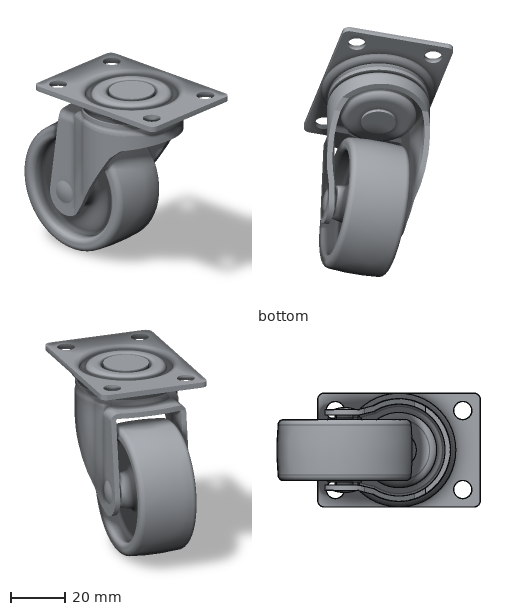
import cadquery as cq
import math

sheet = 2.0

overall_length = 75
overall_height = 67.0
full_turn = 360
quarter_turn = 90
margin = 0.75

plate_length = 60
plate_width = 42
plate_corner_radius = 2.5
bolt_spacing_x = 46.95
bolt_spacing_y = 29.1
bolt_hole_radius = 3.3
dish_rim_radius = 19.8
dish_floor_radius = 16.95
dish_outer_radius = 20.9
dish_base_radius = 18.3
hill_foot_radius = 15.1
hill_top_radius = 12.45
collar_radius = 11.25

kingpin_radius = 8.4
neck_radius = 15
upper_race_top_radius = 18.45
upper_race_base_radius = 18
lower_race_radius = 18.75
race_top = -4.6
race_joint = -6.4
cup_radius = 13.5
cup_rim_radius = 13.9
cup_base_radius = 11.25
cup_rim_top = -13.7
cup_rim_base = -14.55
cup_base = -16.5
pin_end_radius = 6.4
pin_end = -17.6

wheel_radius = 25.0
wheel_x = plate_length / 2 + wheel_radius - overall_length
wheel_z = wheel_radius - overall_height
wheel_width = 22.5
crown_half_width = 9.2
crown_edge_radius = 24.5
rim_outer_radius = 22.5
rim_inner_radius = 21.15
recess_radius = 19.4
web_radius = 18.1
web_half_width = 5.1
hub_end_radius = 6.15
hub_root_radius = 7.1
hub_flare_radius = 9
hub_half_width = 11.8
axle_radius = 3
axle_head_radius = 4.35
axle_head_height = 0.8

fork_top = -7.9
bridge_top = -10.4
shroud_radius = 19.0
shroud_rounding = 2.9
leg_outer_y = 14.85
leg_bend_radius = 3
leg_flat_end_x = -15.15
shroud_start_x = -9.75
bridge_front_x = -24.9
leg_front_x = -22.95
leg_end_x = -19.35
leg_end_z = -43.3
leg_end_radius = 7.95
leg_front_lean = math.radians(8.7)
leg_back_lean = math.radians(33)
shroud_back_base = -14.7
shroud_notch = (9.7, -16.7)
shroud_slope_start = (5.7, -20.1)


def polar(radius, angle):
    return (radius * math.cos(angle), radius * math.sin(angle))


def arc_from_flat(flat_end, steep_end):
    """Middle point of the arc that leaves flat_end horizontally and ends at steep_end."""
    run = steep_end[0] - flat_end[0]
    rise = steep_end[1] - flat_end[1]
    radius = (run**2 + rise**2) / (2 * rise)
    half_angle = math.atan2(rise, abs(run))
    side = math.copysign(1, run)
    return (
        flat_end[0] + side * abs(radius) * math.sin(abs(half_angle)),
        flat_end[1] + radius * (1 - math.cos(half_angle)),
    )


def make_plate():
    sheet_blank = (
        cq.Workplane("XY")
        .box(plate_length, plate_width, sheet, centered=(True, True, False))
        .translate((0, 0, -sheet))
        .edges("|Z")
        .fillet(plate_corner_radius)
        .faces(">Z")
        .workplane()
        .rect(bolt_spacing_x, bolt_spacing_y, forConstruction=True)
        .vertices()
        .hole(2 * bolt_hole_radius)
        .cut(cq.Workplane("XY").circle(dish_rim_radius).extrude(-sheet))
    )
    collar_drop = collar_radius - kingpin_radius
    dish_rim = (dish_rim_radius, 0)
    dish_floor = (dish_floor_radius, -sheet)
    hill_foot = (hill_foot_radius, -sheet)
    hill_top = (hill_top_radius, 0)
    collar_top = (collar_radius, 0)
    collar_base = (kingpin_radius, -collar_drop)
    dish_base = (dish_base_radius, -2 * sheet)
    dish_side = (dish_outer_radius, -sheet)
    dish = (
        cq.Workplane("XZ")
        .moveTo(*dish_rim)
        .threePointArc(arc_from_flat(dish_rim, dish_floor), dish_floor)
        .lineTo(*hill_foot)
        .threePointArc(arc_from_flat(hill_top, hill_foot), hill_top)
        .lineTo(*collar_top)
        .threePointArc(arc_from_flat(collar_top, collar_base), collar_base)
        .lineTo(kingpin_radius, -2 * sheet)
        .lineTo(*dish_base)
        .threePointArc(arc_from_flat(dish_base, dish_side), dish_side)
        .lineTo(dish_rim_radius, -sheet)
        .close()
        .revolve(full_turn, (0, 0, 0), (0, 1, 0))
    )
    return sheet_blank.union(dish)


def make_bearing():
    cup_rim = (cup_rim_radius, cup_rim_base)
    cup_floor = (cup_base_radius, cup_base)
    return (
        cq.Workplane("XZ")
        .lineTo(kingpin_radius, 0)
        .lineTo(kingpin_radius, -2 * sheet)
        .lineTo(neck_radius, -2 * sheet)
        .lineTo(neck_radius, race_top)
        .lineTo(upper_race_top_radius, race_top)
        .lineTo(upper_race_base_radius, race_joint)
        .lineTo(lower_race_radius, race_joint)
        .lineTo(lower_race_radius, fork_top)
        .lineTo(kingpin_radius, fork_top)
        .lineTo(kingpin_radius, fork_top - sheet)
        .lineTo(cup_radius, fork_top - sheet)
        .lineTo(cup_radius, cup_rim_top)
        .lineTo(cup_rim_radius, cup_rim_top)
        .lineTo(*cup_rim)
        .threePointArc(arc_from_flat(cup_floor, cup_rim), cup_floor)
        .lineTo(pin_end_radius, cup_base)
        .lineTo(pin_end_radius, pin_end)
        .lineTo(0, pin_end)
        .close()
        .revolve(full_turn, (0, 0, 0), (0, 1, 0))
    )


def fork_block(inset):
    """Solid outer form of the fork with every face moved inwards by inset."""
    radius = shroud_radius - inset
    leg_y = leg_outer_y - inset
    shroud_start_y = math.sqrt(shroud_radius**2 - shroud_start_x**2) - inset
    shroud_x = -math.sqrt(radius**2 - shroud_start_y**2)
    front_x = leg_end_x - 2 * leg_end_radius
    flare = (
        cq.Workplane("XY", origin=(0, 0, fork_top - inset))
        .moveTo(leg_flat_end_x, -leg_y)
        .lineTo(shroud_x, -shroud_start_y)
        .lineTo(shroud_x, shroud_start_y)
        .lineTo(leg_flat_end_x, leg_y)
        .close()
        .extrude(-overall_height)
    )
    shroud = (
        cq.Workplane("XY", origin=(0, 0, fork_top - inset))
        .circle(radius)
        .extrude(-overall_height)
        .union(flare)
        .faces(">Z")
        .edges()
        .fillet(shroud_rounding - inset)
    )
    legs = (
        cq.Workplane("XY", origin=(0, 0, bridge_top - inset))
        .moveTo(front_x, -leg_y)
        .lineTo(leg_flat_end_x, -leg_y)
        .lineTo(leg_flat_end_x, leg_y)
        .lineTo(front_x, leg_y)
        .close()
        .extrude(-overall_height)
        .faces(">Z")
        .edges("|X")
        .fillet(leg_bend_radius - inset)
    )
    return shroud.union(legs)


def fork_side_outline():
    """Side outline that trims the legs and the shroud, extruded across the fork."""
    bridge_base = bridge_top - sheet
    front_tangent = math.pi - leg_front_lean
    back_tangent = -leg_back_lean

    def leg_end_point(angle):
        x, z = polar(leg_end_radius, angle)
        return (leg_end_x + x, leg_end_z + z)

    return (
        cq.Workplane("XZ")
        .moveTo(bridge_front_x - margin, 0)
        .lineTo(bridge_front_x - margin, bridge_base)
        .lineTo(leg_front_x, bridge_base)
        .lineTo(*leg_end_point(front_tangent))
        .threePointArc(leg_end_point(-math.pi / 2), leg_end_point(back_tangent))
        .lineTo(*shroud_slope_start)
        .lineTo(*shroud_notch)
        .lineTo(shroud_radius, shroud_back_base)
        .lineTo(shroud_radius, 0)
        .close()
        .extrude(shroud_radius, both=True)
    )


def bridge_front_trim():
    """Region in front of the gently bowed front edge of the bridge."""
    front_x = bridge_front_x - margin
    return (
        cq.Workplane("XY")
        .moveTo(front_x, -shroud_radius)
        .lineTo(leg_front_x, -shroud_radius)
        .lineTo(leg_front_x, -leg_outer_y)
        .threePointArc((bridge_front_x, 0), (leg_front_x, leg_outer_y))
        .lineTo(leg_front_x, shroud_radius)
        .lineTo(front_x, shroud_radius)
        .close()
        .extrude(bridge_top - sheet)
    )


def make_fork():
    kingpin_hole = cq.Workplane("XY").circle(kingpin_radius).extrude(2 * fork_top)
    axle_holes = (
        cq.Workplane("XZ", origin=(wheel_x, 0, wheel_z))
        .circle(axle_radius)
        .extrude(shroud_radius, both=True)
    )
    return (
        fork_block(0)
        .cut(fork_block(sheet))
        .intersect(fork_side_outline())
        .cut(bridge_front_trim())
        .cut(kingpin_hole)
        .cut(axle_holes)
    )


def make_wheel():
    half_width = wheel_width / 2
    hub_root = (web_half_width + hub_flare_radius - hub_root_radius, hub_root_radius)
    hub_flare = (web_half_width, hub_flare_radius)
    web_edge = (web_half_width, web_radius)
    recess_bottom = (web_half_width + recess_radius - web_radius, recess_radius)
    recess_mouth = (half_width + recess_radius - rim_inner_radius, recess_radius)
    rim_inner = (half_width, rim_inner_radius)
    rim_outer = (half_width, rim_outer_radius)
    tread_edge = (crown_half_width, crown_edge_radius)
    half = (
        cq.Workplane("XY")
        .moveTo(0, axle_radius)
        .lineTo(hub_half_width, axle_radius)
        .lineTo(hub_half_width, hub_end_radius)
        .lineTo(*hub_root)
        .threePointArc(arc_from_flat(hub_root, hub_flare), hub_flare)
        .lineTo(*web_edge)
        .threePointArc(arc_from_flat(recess_bottom, web_edge), recess_bottom)
        .lineTo(*recess_mouth)
        .threePointArc(arc_from_flat(recess_mouth, rim_inner), rim_inner)
        .lineTo(*rim_outer)
        .threePointArc(arc_from_flat(tread_edge, rim_outer), tread_edge)
        .lineTo(0, crown_edge_radius)
        .close()
        .revolve(full_turn, (0, 0, 0), (1, 0, 0))
    )
    tread_crown = (
        cq.Workplane("XY")
        .moveTo(-crown_half_width, crown_edge_radius)
        .threePointArc((0, wheel_radius), (crown_half_width, crown_edge_radius))
        .lineTo(crown_half_width, rim_outer_radius)
        .lineTo(-crown_half_width, rim_outer_radius)
        .close()
        .revolve(full_turn, (0, 0, 0), (1, 0, 0))
    )
    return (
        half.union(half.mirror("YZ"))
        .union(tread_crown)
        .rotate((0, 0, 0), (0, 0, 1), quarter_turn)
        .translate((wheel_x, 0, wheel_z))
    )


def make_axle():
    head_y = leg_outer_y + axle_head_height
    dome_edge = (axle_head_radius, leg_outer_y)
    far_dome_edge = (axle_head_radius, -leg_outer_y)
    return (
        cq.Workplane("XY", origin=(wheel_x, 0, wheel_z))
        .moveTo(0, head_y)
        .threePointArc(arc_from_flat((0, head_y), dome_edge), dome_edge)
        .lineTo(axle_radius, leg_outer_y)
        .lineTo(axle_radius, -leg_outer_y)
        .lineTo(*far_dome_edge)
        .threePointArc(arc_from_flat((0, -head_y), far_dome_edge), (0, -head_y))
        .close()
        .revolve(full_turn, (0, 0, 0), (0, 1, 0))
    )


plate = make_plate()
bearing = make_bearing()
fork = make_fork()
wheel = make_wheel()
axle = make_axle()

result = cq.Compound.makeCompound([plate.val(), bearing.val(), fork.val(), wheel.val(), axle.val()])